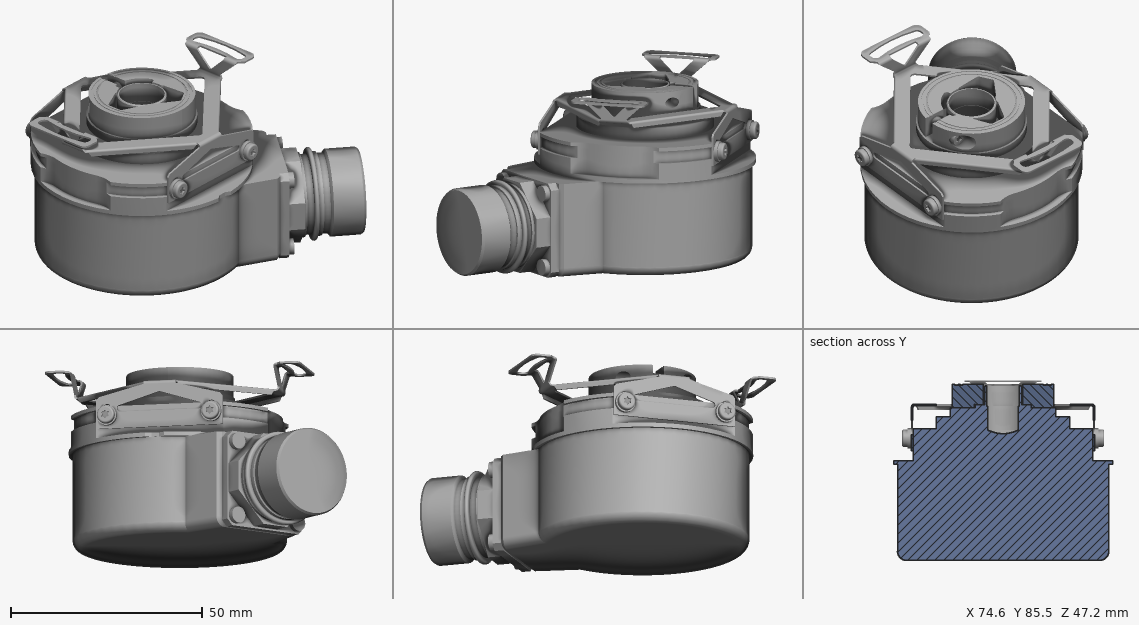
import cadquery as cq
import math

CAN_TOP = 25.1
COVER_TOP = 26.2
BODY_TOP = 34.6
BOSS_TOP = 37.7
LEDGE_TOP = 40.0
SHEET_TOP = 41.0
RING_TOP = 46.15
FLAP_TOP = 47.2

CAN_RADIUS = 28.0
CAN_FILLET = 2.6
COVER_RADIUS = 29.05
BODY_RADIUS = COVER_RADIUS
BODY_FLAT = 23.5
BAND_RADIUS = 27.9
BAND_BOTTOM = 30.4
BAND_TOP = 33.7
BOSS_RADIUS = 18.0
HUB_RADIUS = 14.5

BULGE_RADIUS = 27.0
BULGE_HALF = 6.9
DIP_X = 9.1
DIP_Y = 25.8
RECESS_HALF = 12.1

NOTCH_HALF = 1.0
NOTCH_MOUTH_HALF = 2.7
NOTCH_X = 28.1
NOTCH_Y = -0.2

SHAFT_RADIUS = 6.5
SHAFT_TOP = 45.8
SHAFT_CHAMFER = 0.25
COLLAR_RADIUS = 8.55
COLLAR_TOP = 40.85
BORE_RADIUS = 6.0
BORE_STEP_Z = 40.5
LOWER_BORE_RADIUS = 5.8
BORE_BOTTOM = 34.2
BORE_TIP_DEPTH = 3.4

CONNECTOR_ANGLE = 50.0
CONNECTOR_Z = CAN_TOP / 2
BLOCK_START = 18.8
BLOCK_START_HALF = 16.7
BLOCK_END = 34.7
BLOCK_END_HALF = 13.3
BLOCK_CHAMFER = 0.9
PLATE_END = 37.1
PLATE_HALF = 12.5
PLATE_CHAMFER = 1.6
NUT_END = 41.4
NUT_HALF = 12.05
NUT_FLAT_HALF = 3.85
PLATE_SCREW_OFFSET = 9.8
PLATE_SCREW_RADIUS = 2.1
PLATE_SCREW_HEIGHT = 1.45
CONNECTOR_COLLAR_END = 42.1
RIB_START = 44.0
RIB_END = 45.3
SECOND_RIB_END = 46.6
CAP_START = 49.05
CAP_END = 57.7
CAP_RADIUS = 11.5
CAP_CHAMFER = 0.4
CAP_EDGE = 0.7
NECK_RADIUS = 10.6
CONNECTOR_COLLAR_RADIUS = 11.2
RIB_RADIUS = 12.3
SECOND_RIB_RADIUS = 11.1

RING_RADIUS = 14.0
RING_GROOVES = [(12.6, 13.25), (11.45, 12.0)]
RING_GROOVE_DEPTH = 0.2
LOBE_ANGLES = [-90, 30]
LOBE_ROOT = 4.7
LOBE_ROOT_HALF = 5.1
LOBE_TIP = 10.85
LOBE_TIP_HALF = 2.2
LOBE_FILLET = 0.85
POCKET_RADIUS = 8.0
POCKET_FIRST_ANGLE = 107
POCKET_LAST_ANGLE = 195
SLOT_WIDTH = 2.9
SLOT_Y = 0.7
CLAMP_SCREW_X = -10.3
CLAMP_SCREW_Z = 43.15
CLAMP_HEAD_RADIUS = 1.9
CLAMP_HEAD_FACE_Y = -7.4
COUNTERBORE_RADIUS = 2.3
COUNTERBORE_Y = -5.5
CLAMP_SHANK_RADIUS = 1.7
CLAMP_SHANK_END_Y = 6.0
CLAMP_HOLE_RADIUS = 1.4

SHEET = 0.5
BEND_INNER = 0.4
BEND_OUTER = BEND_INNER + SHEET
FRAME_X = 23.1
FRAME_Y = 26.6
FRAME_END_HALF = 4.3
WINDOW_X = 21.0
WINDOW_Y = 24.95
WINDOW_FILLET = 1.2
LIP_BOTTOM = 39.4
LIP_END_SLANT = 1.1
LIP_FILLET = 0.6

SIDE_TAB_HALF = 16.9
SIDE_TAB_BOTTOM = 28.6
SIDE_TAB_SHOULDER_Y = 16.2
SIDE_TAB_SHOULDER_Z = 37.0
SIDE_TAB_CORNER_Z = 36.2
SIDE_SLOT_HALF = 11.4
SIDE_SLOT_BOTTOM = 33.0
SIDE_SLOT_END_Z = 34.5
SIDE_SLOT_APEX_Z = 38.0
SIDE_SLOT_FILLET = 0.8

HANDLE_WALL_Y = 27.0
HANDLE_BEND_END_Y = 28.45
HANDLE_FOOT_HALF = 3.4
HANDLE_FOOT_Z = 41.8
HANDLE_TOP_HALF = 8.8
HANDLE_WINDOW_HALF = 4.6
HANDLE_WINDOW_APEX_Z = 42.1
HANDLE_WINDOW_FILLET = 0.5
FLAP_END_Y = 34.2
FLAP_HALF = 10.1
FLAP_NECK_Y = 28.0
FLAP_SHOULDER_Y = 29.2
FLAP_CORNER = 1.9
FLAP_SLOT_INNER = 30.0
FLAP_SLOT_OUTER = 33.1
FLAP_SLOT_HALF = 8.55
FLAP_SLOT_FILLET = 1.3

SCREW_Y = 14.0
SCREW_Z = 32.05
WASHER_RADIUS = 2.65
WASHER_HEIGHT = 0.9
HEAD_RADIUS = 2.3
HEAD_HEIGHT = 1.45
HEAD_FILLET = 0.5
SCREW_SLOT_HALF = 1.2
SCREW_SLOT_TOP = 35.1
SCREW_SLOT_Z = 32.9

STAR_OUTER = 1.2
STAR_INNER = 0.8
STAR_DEPTH = 0.6
STAR_POINTS = 6


def disc(radius, bottom, top):
    return cq.Workplane("XY").workplane(offset=bottom).circle(radius).extrude(top - bottom)


def star_points():
    """Outline of the star socket, one point up."""
    points = []
    for step in range(2 * STAR_POINTS):
        radius = STAR_OUTER if step % 2 == 0 else STAR_INNER
        angle = math.pi / 2 + step * math.pi / STAR_POINTS
        points.append((radius * math.cos(angle), radius * math.sin(angle)))
    return points




def on_connector_axis(shape):
    """Turn a shape built along +X at Z = 0 onto the connector axis."""
    return shape.translate((0, 0, CONNECTOR_Z)).rotate((0, 0, 0), (0, 0, 1), CONNECTOR_ANGLE)


def can():
    """Round can with the tapered block that carries the connector."""
    block = (
        cq.Workplane("XY")
        .workplane(offset=-CONNECTOR_Z)
        .moveTo(BLOCK_START, -BLOCK_START_HALF)
        .lineTo(BLOCK_END, -BLOCK_END_HALF)
        .lineTo(BLOCK_END, BLOCK_END_HALF)
        .lineTo(BLOCK_START, BLOCK_START_HALF)
        .close()
        .extrude(CAN_TOP)
        .faces("<Z")
        .edges("not |Y")
        .fillet(CAN_FILLET)
        .edges("|Z and >X")
        .chamfer(BLOCK_CHAMFER)
    )
    shell = disc(CAN_RADIUS, 0, CAN_TOP).faces("<Z").edges().fillet(CAN_FILLET)
    return shell.union(on_connector_axis(block))


def cover():
    """Thin cover with a small notch in its +X rim."""
    notch = (
        cq.Workplane("XY")
        .workplane(offset=CAN_TOP)
        .moveTo(NOTCH_X, NOTCH_Y - NOTCH_HALF)
        .lineTo(COVER_RADIUS, NOTCH_Y - NOTCH_MOUTH_HALF)
        .lineTo(COVER_RADIUS, NOTCH_Y + NOTCH_MOUTH_HALF)
        .lineTo(NOTCH_X, NOTCH_Y + NOTCH_HALF)
        .close()
        .extrude(COVER_TOP - CAN_TOP)
    )
    return disc(COVER_RADIUS, CAN_TOP, COVER_TOP).cut(notch)


def recess():
    """Cutter for the wavy recess at the -Y side of the body."""
    edge_y = math.sqrt(BODY_RADIUS**2 - RECESS_HALF**2)
    bulge_y = math.sqrt(BULGE_RADIUS**2 - BULGE_HALF**2)
    return (
        cq.Workplane("XY")
        .workplane(offset=COVER_TOP)
        .moveTo(-RECESS_HALF, -edge_y)
        .threePointArc((-DIP_X, -DIP_Y), (-BULGE_HALF, -bulge_y))
        .threePointArc((0, -BULGE_RADIUS), (BULGE_HALF, -bulge_y))
        .threePointArc((DIP_X, -DIP_Y), (RECESS_HALF, -edge_y))
        .lineTo(RECESS_HALF, -COVER_RADIUS)
        .lineTo(-RECESS_HALF, -COVER_RADIUS)
        .close()
        .extrude(BODY_TOP - COVER_TOP)
    )


def body():
    """Upper body: side flats, a band groove and a recess at each Y side."""
    band = disc(COVER_RADIUS, BAND_BOTTOM, BAND_TOP).cut(disc(BAND_RADIUS, BAND_BOTTOM, BAND_TOP))
    flats = cq.Workplane("XY").box(2 * BODY_FLAT, 2 * COVER_RADIUS, 2 * BODY_TOP)
    cutter = recess()
    block = disc(BODY_RADIUS, COVER_TOP, BODY_TOP).intersect(flats).cut(band)
    return block.cut(cutter).cut(cutter.mirror("XZ"))


def shaft():
    """Hub and shaft tube with a collar at its foot."""
    hub = disc(BOSS_RADIUS, BODY_TOP, BOSS_TOP).union(disc(HUB_RADIUS, BOSS_TOP, LEDGE_TOP))
    tube = disc(SHAFT_RADIUS, LEDGE_TOP, SHAFT_TOP).faces(">Z").edges().chamfer(SHAFT_CHAMFER)
    return hub.union(disc(COLLAR_RADIUS, LEDGE_TOP, COLLAR_TOP)).union(tube)


def bore():
    """Cutter for the stepped blind bore that ends in a drill cone."""
    return (
        cq.Workplane("XZ")
        .moveTo(0, BORE_BOTTOM - BORE_TIP_DEPTH)
        .lineTo(LOWER_BORE_RADIUS, BORE_BOTTOM)
        .lineTo(LOWER_BORE_RADIUS, BORE_STEP_Z)
        .lineTo(BORE_RADIUS, BORE_STEP_Z)
        .lineTo(BORE_RADIUS, SHAFT_TOP)
        .lineTo(0, SHAFT_TOP)
        .close()
        .revolve(360, (0, 0, 0), (0, 1, 0))
    )


def connector_plate():
    """Square plate, chamfered nut and the four screw heads behind the connector."""
    plate = (
        cq.Workplane("YZ")
        .workplane(offset=BLOCK_END)
        .rect(2 * PLATE_HALF, CAN_TOP)
        .extrude(PLATE_END - BLOCK_END)
        .edges("|X")
        .chamfer(PLATE_CHAMFER)
    )
    nut = (
        cq.Workplane("YZ")
        .workplane(offset=PLATE_END)
        .rect(2 * NUT_HALF, 2 * NUT_HALF)
        .extrude(NUT_END - PLATE_END)
        .edges("|X")
        .chamfer(NUT_HALF - NUT_FLAT_HALF)
    )
    screws = (
        cq.Workplane("YZ")
        .workplane(offset=PLATE_END)
        .rect(2 * PLATE_SCREW_OFFSET, 2 * PLATE_SCREW_OFFSET, forConstruction=True)
        .vertices()
        .circle(PLATE_SCREW_RADIUS)
        .extrude(PLATE_SCREW_HEIGHT)
    )
    return plate.union(nut).union(screws)


def connector_barrel():
    """Turned connector: collar, two ribs on a neck and the cap."""
    rib_radius = (RIB_END - RIB_START) / 2
    return (
        cq.Workplane("XY")
        .moveTo(NUT_END, 0)
        .lineTo(NUT_END, CONNECTOR_COLLAR_RADIUS)
        .lineTo(CONNECTOR_COLLAR_END, CONNECTOR_COLLAR_RADIUS)
        .lineTo(CONNECTOR_COLLAR_END, NECK_RADIUS)
        .lineTo(RIB_START, NECK_RADIUS)
        .lineTo(RIB_START, RIB_RADIUS - rib_radius)
        .threePointArc(
            (RIB_START + rib_radius, RIB_RADIUS),
            (RIB_END, RIB_RADIUS - rib_radius),
        )
        .lineTo(RIB_END, SECOND_RIB_RADIUS)
        .lineTo(SECOND_RIB_END, SECOND_RIB_RADIUS)
        .lineTo(SECOND_RIB_END, NECK_RADIUS)
        .lineTo(CAP_START - CAP_EDGE, NECK_RADIUS)
        .lineTo(CAP_START, CAP_RADIUS)
        .lineTo(CAP_END - CAP_EDGE, CAP_RADIUS)
        .lineTo(CAP_END, CAP_RADIUS - CAP_CHAMFER)
        .lineTo(CAP_END, 0)
        .close()
        .revolve(360, (0, 0, 0), (1, 0, 0))
    )


def make_housing():
    housing = can().union(cover()).union(body()).union(shaft()).cut(bore())
    return housing.union(on_connector_axis(connector_plate().union(connector_barrel())))




def lobe(angle):
    """Tapered pocket that opens into the ring bore."""
    return (
        cq.Workplane("XY")
        .workplane(offset=LEDGE_TOP)
        .moveTo(0, -LOBE_ROOT_HALF)
        .lineTo(LOBE_ROOT, -LOBE_ROOT_HALF)
        .lineTo(LOBE_TIP, -LOBE_TIP_HALF)
        .lineTo(LOBE_TIP, LOBE_TIP_HALF)
        .lineTo(LOBE_ROOT, LOBE_ROOT_HALF)
        .lineTo(0, LOBE_ROOT_HALF)
        .close()
        .extrude(RING_TOP - LEDGE_TOP)
        .edges("|Z and >X")
        .fillet(LOBE_FILLET)
        .rotate((0, 0, 0), (0, 0, 1), angle)
    )


def arc_pocket():
    """Narrow round pocket into which the clamping slot runs."""
    def rim(angle):
        turn = math.radians(angle)
        return (POCKET_RADIUS * math.cos(turn), POCKET_RADIUS * math.sin(turn))

    return (
        cq.Workplane("XY")
        .workplane(offset=LEDGE_TOP)
        .lineTo(*rim(POCKET_FIRST_ANGLE))
        .threePointArc(rim((POCKET_FIRST_ANGLE + POCKET_LAST_ANGLE) / 2), rim(POCKET_LAST_ANGLE))
        .close()
        .extrude(RING_TOP - LEDGE_TOP)
        .edges("|Z and (not >X)")
        .fillet(LOBE_FILLET)
    )


def along_y(radius, start, end):
    """Cylinder on the clamp screw axis from Y = start to Y = end."""
    return cq.Workplane(
        cq.Solid.makeCylinder(
            radius,
            end - start,
            cq.Vector(CLAMP_SCREW_X, start, CLAMP_SCREW_Z),
            cq.Vector(0, 1, 0),
        )
    )


def clamp_screw():
    head = along_y(CLAMP_HEAD_RADIUS, CLAMP_HEAD_FACE_Y, COUNTERBORE_Y)
    shank = along_y(CLAMP_SHANK_RADIUS, COUNTERBORE_Y, CLAMP_SHANK_END_Y)
    socket = (
        cq.Workplane("XZ", origin=(CLAMP_SCREW_X, CLAMP_HEAD_FACE_Y, CLAMP_SCREW_Z))
        .polyline(star_points())
        .close()
        .extrude(-STAR_DEPTH)
    )
    return head.union(shank).cut(socket)


def make_clamp_ring():
    ring = disc(RING_RADIUS, LEDGE_TOP, RING_TOP)
    ring = ring.cut(disc(SHAFT_RADIUS, LEDGE_TOP, RING_TOP))
    ring = ring.cut(disc(COLLAR_RADIUS, LEDGE_TOP, COLLAR_TOP))
    for angle in LOBE_ANGLES:
        ring = ring.cut(lobe(angle))
    ring = ring.cut(arc_pocket())
    for inner, outer in RING_GROOVES:
        floor = RING_TOP - RING_GROOVE_DEPTH
        ring = ring.cut(disc(outer, floor, RING_TOP).cut(disc(inner, floor, RING_TOP)))
    slot = (
        cq.Workplane("XY")
        .workplane(offset=LEDGE_TOP)
        .center(-RING_RADIUS / 2, SLOT_Y)
        .rect(RING_RADIUS, SLOT_WIDTH)
        .extrude(RING_TOP - LEDGE_TOP)
    )
    ring = ring.cut(slot)
    ring = ring.cut(along_y(COUNTERBORE_RADIUS, -RING_RADIUS, COUNTERBORE_Y))
    ring = ring.cut(along_y(CLAMP_HOLE_RADIUS, CLAMP_SHANK_END_Y, RING_RADIUS))
    return ring.union(clamp_screw())




def frame():
    """Flat eight-sided frame with a rhombic window and a rounded lip under each arm."""
    corners = [
        (FRAME_X, FRAME_END_HALF),
        (FRAME_END_HALF, FRAME_Y),
        (-FRAME_END_HALF, FRAME_Y),
        (-FRAME_X, FRAME_END_HALF),
        (-FRAME_X, -FRAME_END_HALF),
        (-FRAME_END_HALF, -FRAME_Y),
        (FRAME_END_HALF, -FRAME_Y),
        (FRAME_X, -FRAME_END_HALF),
    ]
    plane = cq.Workplane("XY").workplane(offset=SHEET_TOP - SHEET)
    window = (
        plane.polyline([(WINDOW_X, 0), (0, WINDOW_Y), (-WINDOW_X, 0), (0, -WINDOW_Y)])
        .close()
        .extrude(SHEET)
        .edges("|Z")
        .fillet(WINDOW_FILLET)
    )
    sheet = plane.polyline(corners).close().extrude(SHEET)
    lip_pair = lip().union(lip().mirror("XZ"))
    sheet = sheet.union(lip_pair).union(lip_pair.mirror("YZ"))
    arm_edges = sheet.faces(">Z").edges("(not |X) and (not |Y)")
    return arm_edges.fillet(LIP_FILLET).cut(window)


def lip():
    """Stiffening lip under the +X +Y arm of the frame."""
    run_x = FRAME_X - FRAME_END_HALF
    run_y = FRAME_Y - FRAME_END_HALF
    length = math.hypot(run_x, run_y)
    plane = cq.Plane(
        origin=(FRAME_X, FRAME_END_HALF, SHEET_TOP),
        xDir=(-run_x, run_y, 0),
        normal=(-run_y, -run_x, 0),
    )
    depth = SHEET_TOP - LIP_BOTTOM
    return (
        cq.Workplane(plane)
        .lineTo(length, 0)
        .lineTo(length - LIP_END_SLANT, depth)
        .lineTo(LIP_END_SLANT, depth)
        .close()
        .extrude(SHEET)
    )


def side_tab():
    """Bent tab at +X, with its triangular slot and its two screw slots."""
    outer_x = BODY_FLAT + SHEET
    strip = (
        cq.Workplane("XZ")
        .workplane(offset=-SIDE_TAB_HALF)
        .moveTo(FRAME_X - BEND_OUTER, SHEET_TOP)
        .lineTo(outer_x - BEND_OUTER, SHEET_TOP)
        .radiusArc((outer_x, SHEET_TOP - BEND_OUTER), BEND_OUTER)
        .lineTo(outer_x, SIDE_TAB_BOTTOM)
        .lineTo(BODY_FLAT, SIDE_TAB_BOTTOM)
        .lineTo(BODY_FLAT, SHEET_TOP - BEND_OUTER)
        .radiusArc((BODY_FLAT - BEND_INNER, SHEET_TOP - SHEET), -BEND_INNER)
        .lineTo(FRAME_X - BEND_OUTER, SHEET_TOP - SHEET)
        .close()
        .extrude(2 * SIDE_TAB_HALF)
    )
    half = [
        (FRAME_END_HALF, SHEET_TOP),
        (FRAME_END_HALF, SHEET_TOP - BEND_OUTER),
        (SIDE_TAB_SHOULDER_Y, SIDE_TAB_SHOULDER_Z),
        (SIDE_TAB_HALF, SIDE_TAB_CORNER_Z),
        (SIDE_TAB_HALF, SIDE_TAB_BOTTOM),
    ]
    outline = half + [(-y, z) for y, z in reversed(half)]
    tab = strip.intersect(cq.Workplane("YZ").polyline(outline).close().extrude(outer_x))
    triangle = (
        cq.Workplane("YZ")
        .moveTo(-SIDE_SLOT_HALF, SIDE_SLOT_BOTTOM)
        .lineTo(SIDE_SLOT_HALF, SIDE_SLOT_BOTTOM)
        .lineTo(SIDE_SLOT_HALF, SIDE_SLOT_END_Z)
        .lineTo(0, SIDE_SLOT_APEX_Z)
        .lineTo(-SIDE_SLOT_HALF, SIDE_SLOT_END_Z)
        .close()
        .extrude(outer_x)
        .edges("|X")
        .fillet(SIDE_SLOT_FILLET)
    )
    screw_slots = (
        cq.Workplane("YZ")
        .pushPoints([(SCREW_Y, SCREW_SLOT_Z), (-SCREW_Y, SCREW_SLOT_Z)])
        .slot2D(2 * (SCREW_SLOT_TOP - SCREW_SLOT_Z), 2 * SCREW_SLOT_HALF, 90)
        .extrude(outer_x)
    )
    return tab.cut(triangle).cut(screw_slots)


def screw(y):
    """Washer and star-socket head of a fixing screw on the +X tab."""
    face_x = BODY_FLAT + SHEET
    seat = cq.Workplane("YZ", origin=(face_x, y, SCREW_Z))
    top = cq.Workplane("YZ", origin=(face_x + WASHER_HEIGHT, y, SCREW_Z))
    end = cq.Workplane("YZ", origin=(face_x + WASHER_HEIGHT + HEAD_HEIGHT, y, SCREW_Z))
    washer = seat.circle(WASHER_RADIUS).extrude(WASHER_HEIGHT)
    head = top.circle(HEAD_RADIUS).extrude(HEAD_HEIGHT).faces(">X").edges().fillet(HEAD_FILLET)
    socket = end.polyline(star_points()).close().extrude(-STAR_DEPTH)
    return washer.union(head).cut(socket)


def handle_web():
    """Upright web at +Y, bent at foot and top."""
    inner_y = HANDLE_WALL_Y
    outer_y = HANDLE_WALL_Y + SHEET
    bottom = SHEET_TOP - SHEET
    underside = FLAP_TOP - SHEET
    strip = (
        cq.Workplane("YZ")
        .workplane(offset=-FLAP_HALF)
        .moveTo(FRAME_Y - BEND_OUTER, bottom)
        .lineTo(outer_y - BEND_OUTER, bottom)
        .radiusArc((outer_y, bottom + BEND_OUTER), -BEND_OUTER)
        .lineTo(outer_y, underside - BEND_INNER)
        .radiusArc((outer_y + BEND_INNER, underside), BEND_INNER)
        .lineTo(HANDLE_BEND_END_Y, underside)
        .lineTo(HANDLE_BEND_END_Y, FLAP_TOP)
        .lineTo(inner_y + BEND_OUTER, FLAP_TOP)
        .radiusArc((inner_y, FLAP_TOP - BEND_OUTER), -BEND_OUTER)
        .lineTo(inner_y, SHEET_TOP + BEND_INNER)
        .radiusArc((inner_y - BEND_INNER, SHEET_TOP), BEND_INNER)
        .lineTo(FRAME_Y - BEND_OUTER, SHEET_TOP)
        .close()
        .extrude(2 * FLAP_HALF)
    )
    half = [
        (FRAME_END_HALF, bottom),
        (HANDLE_FOOT_HALF, HANDLE_FOOT_Z),
        (HANDLE_TOP_HALF, FLAP_TOP - SHEET),
        (HANDLE_TOP_HALF, FLAP_TOP),
    ]
    outline = half + [(-x, z) for x, z in reversed(half)]
    return strip.intersect(cq.Workplane("XZ").polyline(outline).close().extrude(-FLAP_END_Y))


def handle_window():
    """V-shaped cutter that opens the web and its top bend."""
    return (
        cq.Workplane("XZ")
        .moveTo(0, HANDLE_WINDOW_APEX_Z)
        .lineTo(HANDLE_WINDOW_HALF, FLAP_TOP - SHEET)
        .lineTo(HANDLE_WINDOW_HALF, FLAP_TOP)
        .lineTo(-HANDLE_WINDOW_HALF, FLAP_TOP)
        .lineTo(-HANDLE_WINDOW_HALF, FLAP_TOP - SHEET)
        .close()
        .extrude(-HANDLE_BEND_END_Y)
        .edges("|Y and <Z")
        .fillet(HANDLE_WINDOW_FILLET)
    )


def flap():
    """Horizontal end of the handle, with a slot curved about the shaft axis."""
    half = [
        (HANDLE_TOP_HALF, FLAP_NECK_Y),
        (FLAP_HALF, FLAP_SHOULDER_Y),
        (FLAP_HALF, FLAP_END_Y),
    ]
    plate = (
        cq.Workplane("XY")
        .workplane(offset=FLAP_TOP - SHEET)
        .polyline(half + [(-x, y) for x, y in reversed(half)])
        .close()
        .extrude(SHEET)
        .edges("|Z and >Y")
        .fillet(FLAP_CORNER)
    )
    limits = (
        cq.Workplane("XY")
        .workplane(offset=FLAP_TOP - SHEET)
        .center(0, FLAP_END_Y / 2)
        .rect(2 * FLAP_SLOT_HALF, FLAP_END_Y)
        .extrude(SHEET)
    )
    slot = (
        disc(FLAP_SLOT_OUTER, FLAP_TOP - SHEET, FLAP_TOP)
        .cut(disc(FLAP_SLOT_INNER, FLAP_TOP - SHEET, FLAP_TOP))
        .intersect(limits)
        .edges("|Z")
        .fillet(FLAP_SLOT_FILLET)
    )
    return plate.cut(slot)


def make_coupling():
    side = side_tab().union(screw(SCREW_Y)).union(screw(-SCREW_Y))
    handle = handle_web().union(flap()).cut(handle_window())
    coupling = frame()
    for feature, mirror_plane in [(side, "YZ"), (handle, "XZ")]:
        coupling = coupling.union(feature).union(feature.mirror(mirror_plane))
    return coupling


housing = make_housing()
clamp_ring = make_clamp_ring()
coupling = make_coupling()

result = cq.Compound.makeCompound(
    [
        housing.solids().val(),
        clamp_ring.solids().val(),
        coupling.solids().val(),
    ]
)